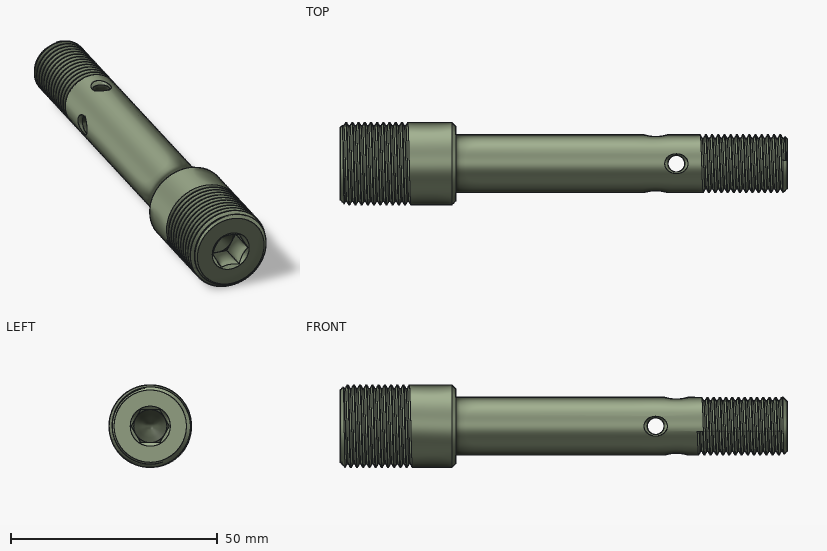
import cadquery as cq
import math

total_length = 108.2
head_length = 28.0
head_diameter = 20.0
shank_diameter = 14.0

head_face_chamfer = 1.25
head_shoulder_chamfer = 1.0
shank_end_chamfer = 1.0

pitch = 1.5
flank_half_angle = 30.0
sharp_v_height = pitch / 2 / math.tan(math.radians(flank_half_angle))
thread_depth = sharp_v_height * 5 / 8
crest_width = pitch / 8
groove_overcut = 0.1
head_thread_end = 17.12
head_thread_end_angle = 160.0
head_thread_turns = 12
shank_thread_start = 87.05
shank_thread_start_angle = 11.0
shank_thread_turns = 13.7

socket_across_flats = 8.0
socket_depth = 8.0
socket_countersink_diameter = 9.7
socket_countersink_angle = 90.0
drill_point_angle = 118.0

cross_hole_diameter = 4.0
cross_hole_rim_diameter = 4.8
y_hole_x = 76.35
hole_spacing = 5.0
z_hole_x = y_hole_x + hole_spacing


def make_body():
    """Stepped bolt body, turned about the X axis."""
    head = cq.Workplane("YZ").circle(head_diameter / 2).extrude(head_length)
    head = head.faces("<X").chamfer(head_face_chamfer)
    head = head.faces(">X").chamfer(head_shoulder_chamfer)
    shank = cq.Workplane("YZ").circle(shank_diameter / 2).extrude(total_length)
    shank = shank.faces(">X").chamfer(shank_end_chamfer)
    return head.union(shank)


def make_groove_piece(diameter, start_angle, turns):
    """Stretch of right-hand V groove, centred on x = 0 where it starts and advancing toward +X.

    The start angle is measured about +X from -Y.
    """
    crest_radius = diameter / 2
    root_radius = crest_radius - thread_depth
    outer_radius = crest_radius + groove_overcut
    slope = math.tan(math.radians(flank_half_angle))
    outer_half_width = (pitch - crest_width) / 2 + groove_overcut * slope
    root_half_width = outer_half_width - (outer_radius - root_radius) * slope
    helix = cq.Wire.makeHelix(pitch, pitch * turns, root_radius)
    piece = (
        cq.Workplane("XZ")
        .moveTo(root_radius, -root_half_width)
        .lineTo(outer_radius, -outer_half_width)
        .lineTo(outer_radius, outer_half_width)
        .lineTo(root_radius, root_half_width)
        .close()
        .sweep(cq.Workplane(obj=helix), isFrenet=True)
    )
    piece = piece.rotate((0, 0, 0), (0, 1, 0), 90)
    return piece.rotate((0, 0, 0), (1, 0, 0), start_angle - 90)


def cut_thread(body, diameter, start_x, start_angle, turns):
    """Cut a thread groove turn by turn, each turn starting where the one before ends."""
    for index in range(math.ceil(turns)):
        piece = make_groove_piece(diameter, start_angle, min(1, turns - index))
        body = body.cut(piece.translate((start_x + index * pitch, 0, 0)))
    return body


def cut_head_thread(body):
    """Groove that runs in from beyond the head face and stops on the head."""
    start_x = head_thread_end - pitch * head_thread_turns
    return cut_thread(body, head_diameter, start_x, head_thread_end_angle, head_thread_turns)


def cut_shank_thread(body):
    """Groove that starts on the shank and stops on the end chamfer."""
    return cut_thread(
        body, shank_diameter, shank_thread_start, shank_thread_start_angle, shank_thread_turns
    )


def make_cone(radius, x, half_angle):
    """Cone with its base at x and its tip toward +X."""
    height = radius / math.tan(math.radians(half_angle))
    profile = cq.Workplane("XY").polyline([(x, 0), (x, radius), (x + height, 0)]).close()
    return profile.revolve(360, (0, 0, 0), (1, 0, 0))


def make_socket():
    """Hexagon with corners on the Y axis, countersunk mouth and conical bottom."""
    across_corners = socket_across_flats / math.cos(math.pi / 6)
    hexagon = cq.Workplane("YZ").polygon(6, across_corners).extrude(socket_depth)
    mouth = make_cone(socket_countersink_diameter / 2, 0, socket_countersink_angle / 2)
    bottom = make_cone(socket_across_flats / 2, socket_depth, drill_point_angle / 2)
    return hexagon.union(mouth).union(bottom)


def make_cross_hole(x):
    """Hole along Z through the shank, with a 45 degree rim at each side."""
    shank_radius = shank_diameter / 2
    hole_radius = cross_hole_diameter / 2
    rim_radius = cross_hole_rim_diameter / 2
    rim_height = math.sqrt(shank_radius**2 - rim_radius**2)
    rim_bottom = rim_height - (rim_radius - hole_radius)
    rim_top_radius = hole_radius + shank_radius - rim_bottom
    profile = (
        cq.Workplane("XZ")
        .moveTo(0, -shank_radius)
        .lineTo(rim_top_radius, -shank_radius)
        .lineTo(hole_radius, -rim_bottom)
        .lineTo(hole_radius, rim_bottom)
        .lineTo(rim_top_radius, shank_radius)
        .lineTo(0, shank_radius)
        .close()
    )
    return profile.revolve(360, (0, 0, 0), (0, 1, 0)).translate((x, 0, 0))


y_hole = make_cross_hole(y_hole_x).rotate((0, 0, 0), (1, 0, 0), 90)
z_hole = make_cross_hole(z_hole_x)

result = make_body()
result = result.cut(make_socket())
result = result.cut(y_hole).cut(z_hole)
result = cut_head_thread(result)
result = cut_shank_thread(result)